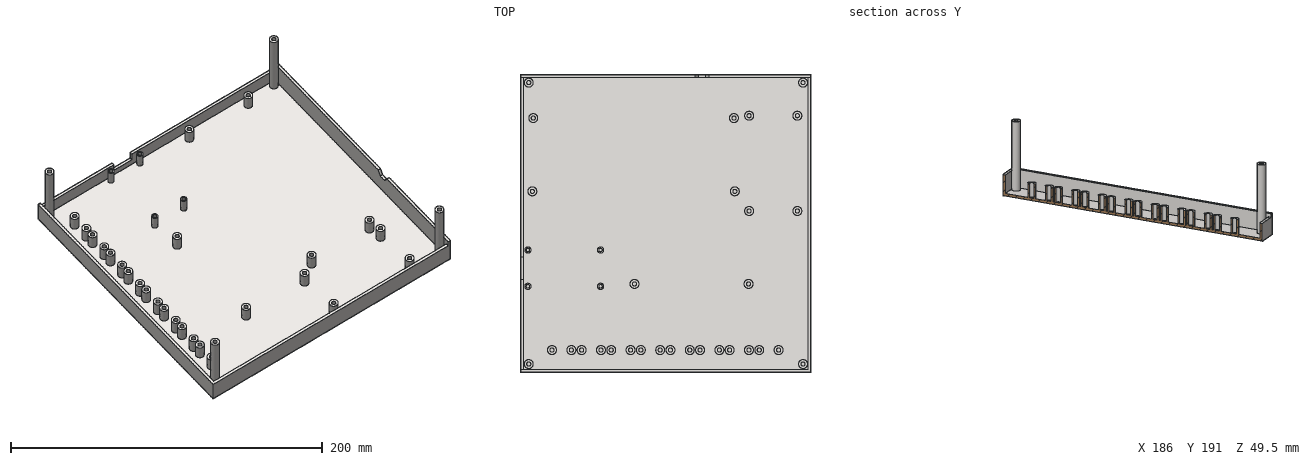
import cadquery as cq


length_x = 186.0
length_y = 191.0
floor_thickness = 2.1
wall_thickness = 2.0
back_wall_top = 18.7
wall_top = 14.7
left_wall_top = 12.5

left_notch_center_y = 66.8
left_notch_width = 14.5
left_notch_bottom = 6.7

back_notch_center_x = 116.3
back_notch_radius = 4.5

corner_post_top = 49.5
corner_post_left_x = 5.2
corner_post_right_x = 181.0
corner_post_front_y = 5.3
corner_post_back_y = 185.8

post_diameter = 5.7
post_hole_diameter = 2.7
thin_post_diameter = 4.0
thin_post_hole_diameter = 2.3
standoff_height = 10.0
standoff_top = floor_thickness + standoff_height

row_y = 14.3
row_start_x = 20.0
row_span = 133.0
row_pair_spacing = 12.5
row_pair_count = 8
row_pitch = row_span / (row_pair_count - 1)


def block(x_start, y_start, size_x, size_y, top, bottom=0.0):
    """Box given by its front left corner, plan size and heights."""
    base = cq.Workplane("XY").workplane(offset=bottom)
    return base.moveTo(x_start, y_start).rect(size_x, size_y, centered=False).extrude(top - bottom)


def rectangle_corners(x_left, x_right, y_front, y_back):
    return [(x, y) for x in (x_left, x_right) for y in (y_front, y_back)]


def make_tray():
    tray = block(0, 0, length_x, length_y, floor_thickness)
    tray = tray.union(block(0, 0, wall_thickness, length_y, left_wall_top))
    tray = tray.union(block(length_x - wall_thickness, 0, wall_thickness, length_y, wall_top))
    tray = tray.union(block(0, 0, length_x, wall_thickness, wall_top))
    tray = tray.union(block(0, length_y - wall_thickness, length_x, wall_thickness, back_wall_top))
    return tray


def cut_left_notch(tray):
    notch_start_y = left_notch_center_y - left_notch_width / 2
    notch = block(0, notch_start_y, wall_thickness, left_notch_width, left_wall_top, left_notch_bottom)
    return tray.cut(notch)


def cut_back_notch(tray):
    hexagon = (
        cq.Workplane("XZ", origin=(back_notch_center_x, length_y, back_wall_top))
        .polygon(6, 2 * back_notch_radius)
        .extrude(wall_thickness)
    )
    return tray.cut(hexagon)


def add_posts(tray, centers, diameter, hole_diameter, top):
    """Add round posts, each with a blind hole that ends at the floor."""
    posts = cq.Workplane("XY").pushPoints(centers).circle(diameter / 2).extrude(top)
    holes = (
        cq.Workplane("XY")
        .workplane(offset=floor_thickness)
        .pushPoints(centers)
        .circle(hole_diameter / 2)
        .extrude(top - floor_thickness)
    )
    return tray.union(posts).cut(holes)


corner_centers = rectangle_corners(
    corner_post_left_x,
    corner_post_right_x,
    corner_post_front_y,
    corner_post_back_y,
)

standoff_centers = [(8.0, 163.1), (136.8, 163.1), (7.5, 116.1), (137.3, 116.1)]
standoff_centers += rectangle_corners(146.5, 177.5, 103.5, 164.6)
standoff_centers += [(73.0, 56.7), (146.1, 56.7)]
for pair in range(row_pair_count):
    pair_x = row_start_x + pair * row_pitch
    standoff_centers += [(pair_x, row_y), (pair_x + row_pair_spacing, row_y)]

thin_centers = rectangle_corners(4.5, 51.2, 55.2, 78.5)

result = make_tray()
result = cut_left_notch(result)
result = cut_back_notch(result)
result = add_posts(result, corner_centers, post_diameter, post_hole_diameter, corner_post_top)
result = add_posts(result, standoff_centers, post_diameter, post_hole_diameter, standoff_top)
result = add_posts(result, thin_centers, thin_post_diameter, thin_post_hole_diameter, standoff_top)